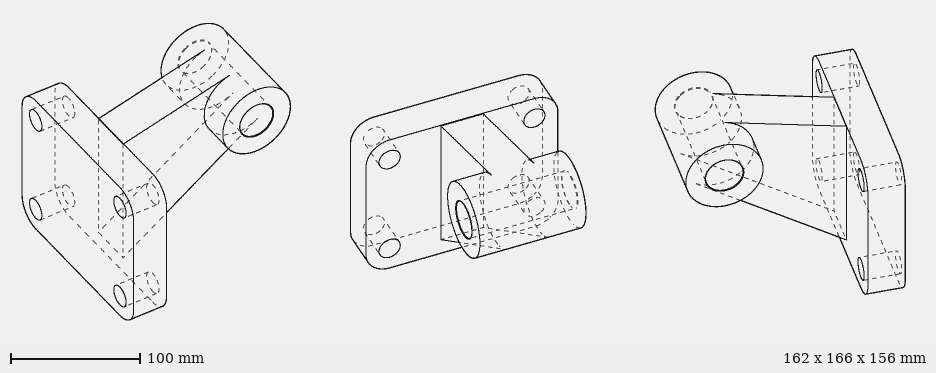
import cadquery as cq
import math

plate_width = 162.0
plate_height = 130.0
plate_thickness = 30.0
corner_radius = 20.0
bolt_hole_diameter = 18.0
bolt_spacing_x = 122.2
bolt_spacing_z = 90.1

overall_depth = 166.0
overall_height = 156.0
boss_diameter = 62.0
boss_length = 89.6
bore_diameter = 30.0
bore_chamfer = 0.5
boss_radius = boss_diameter / 2
boss_y = overall_depth - boss_radius
boss_z = overall_height - boss_radius

web_thickness = 35.9
web_bottom_z = 14.0
web_top_z = 129.3


def tangent_point(y, z, side):
    """Point where a line from (y, z) touches the boss; side +1 is above, -1 below."""
    distance = math.hypot(y - boss_y, z - boss_z)
    toward_point = math.atan2(z - boss_z, y - boss_y)
    angle = toward_point - side * math.acos(boss_radius / distance)
    return boss_y + boss_radius * math.cos(angle), boss_z + boss_radius * math.sin(angle)


def make_plate():
    plate = (
        cq.Workplane("XY")
        .box(plate_width, plate_thickness, plate_height, centered=(True, False, False))
        .edges("|Y")
        .fillet(corner_radius)
    )
    return (
        plate.faces("<Y")
        .workplane(centerOption="CenterOfBoundBox")
        .rect(bolt_spacing_x, bolt_spacing_z, forConstruction=True)
        .vertices()
        .hole(bolt_hole_diameter)
    )


def make_web():
    bottom = (plate_thickness, web_bottom_z)
    top = (plate_thickness, web_top_z)
    outline = [
        bottom,
        tangent_point(*bottom, -1),
        (boss_y, boss_z),
        tangent_point(*top, 1),
        top,
    ]
    side_plane = cq.Workplane("YZ", origin=(-web_thickness / 2, 0, 0))
    return side_plane.polyline(outline).close().extrude(web_thickness)


def make_boss():
    return (
        cq.Workplane("YZ", origin=(-boss_length / 2, boss_y, boss_z))
        .circle(boss_radius)
        .extrude(boss_length)
    )


def make_bore_cutter():
    """Bore through the boss, flared at both ends to chamfer its mouths."""
    mouth_x = boss_length / 2
    bore_radius = bore_diameter / 2
    mouth_radius = bore_radius + bore_chamfer
    half_profile = [
        (-mouth_x, 0),
        (-mouth_x, mouth_radius),
        (-mouth_x + bore_chamfer, bore_radius),
        (mouth_x - bore_chamfer, bore_radius),
        (mouth_x, mouth_radius),
        (mouth_x, 0),
    ]
    cutter = cq.Workplane("XY").polyline(half_profile).close().revolve(360, (0, 0, 0), (1, 0, 0))
    return cutter.translate((0, boss_y, boss_z))


bracket = make_plate().union(make_web()).union(make_boss())
result = bracket.cut(make_bore_cutter())